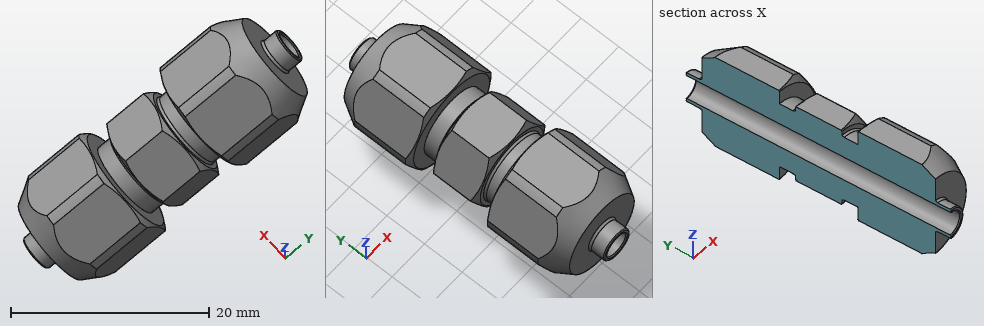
import cadquery as cq
import math

TOTAL_LENGTH = 34.0

TUBE_RADIUS = 1.97
TUBE_STUB = 2.0
TUBE_FLARE_HEIGHT = 0.15
BORE_RADIUS = 1.5

TUBE_END_LENGTH = 0.15
TUBE_END_INSET = 0.1

FLARE_LENGTH = 0.3

NUT_FLATS = 12.0
NUT_CORNER_RADIUS = 6.615
NUT_LENGTH = 10.0
NUT_FACE_RADIUS = 5.0
NUT_TAPER_DEGREES = 60.0

BODY_FLATS = 10.0
BODY_LENGTH = 6.0
NECK_RADIUS = 4.25
NECK_FLARE_HEIGHT = 0.1

BEVEL_INSET = 0.15
BEVEL_DEGREES = 30.0

HALF_LENGTH = TOTAL_LENGTH / 2
NUT_OUTER_Y = HALF_LENGTH - TUBE_STUB
NUT_INNER_Y = NUT_OUTER_Y - NUT_LENGTH
BODY_FACE_Y = BODY_LENGTH / 2


def revolve_profile(points):
    """Turn a closed (radius, y) outline about the Y axis."""
    return cq.Workplane("XY").polyline(points).close().revolve(360, (0, 0, 0), (0, 1, 0))


def hex_prism(across_flats, start_y, end_y):
    """Hexagonal bar along Y with corners pointing along +X and -X."""
    corner_diameter = across_flats / math.cos(math.pi / 6)
    return (
        cq.Workplane("XZ", origin=(0, start_y, 0))
        .polygon(6, corner_diameter)
        .extrude(start_y - end_y)
    )


def taper_length(small_radius, large_radius, degrees):
    """Axial length of a cone whose side leans by the given angle from its end face."""
    return (large_radius - small_radius) * math.tan(math.radians(degrees))


def make_nut():
    """Nut on the +Y side: a hexagon trimmed by a cylinder with tapered ends."""
    inner_radius = NUT_FLATS / 2 - BEVEL_INSET
    bevel = taper_length(inner_radius, NUT_CORNER_RADIUS, BEVEL_DEGREES)
    taper = taper_length(NUT_FACE_RADIUS, NUT_CORNER_RADIUS, NUT_TAPER_DEGREES)
    envelope = revolve_profile([
        (0, NUT_INNER_Y),
        (inner_radius, NUT_INNER_Y),
        (NUT_CORNER_RADIUS, NUT_INNER_Y + bevel),
        (NUT_CORNER_RADIUS, NUT_OUTER_Y - taper),
        (NUT_FACE_RADIUS, NUT_OUTER_Y),
        (0, NUT_OUTER_Y),
    ])
    return hex_prism(NUT_FLATS, NUT_INNER_Y, NUT_OUTER_Y).intersect(envelope)


def make_body():
    """Central hexagon with its corners bevelled at both ends."""
    face_radius = BODY_FLATS / 2 - BEVEL_INSET
    corner_radius = BODY_FLATS / 2 / math.cos(math.pi / 6)
    bevel = taper_length(face_radius, corner_radius, BEVEL_DEGREES)
    envelope = revolve_profile([
        (0, -BODY_FACE_Y),
        (face_radius, -BODY_FACE_Y),
        (corner_radius, -BODY_FACE_Y + bevel),
        (corner_radius, BODY_FACE_Y - bevel),
        (face_radius, BODY_FACE_Y),
        (0, BODY_FACE_Y),
    ])
    return hex_prism(BODY_FLATS, -BODY_FACE_Y, BODY_FACE_Y).intersect(envelope)


def make_neck():
    """Neck from the middle to the +Y nut, flared where it meets the central hexagon."""
    flare_radius = NECK_RADIUS + NECK_FLARE_HEIGHT
    return revolve_profile([
        (0, 0),
        (flare_radius, 0),
        (flare_radius, BODY_FACE_Y),
        (NECK_RADIUS, BODY_FACE_Y + FLARE_LENGTH),
        (NECK_RADIUS, NUT_INNER_Y),
        (0, NUT_INNER_Y),
    ])


def make_tube():
    """Tube from the middle to the +Y end, flared where it leaves the nut."""
    flare_radius = TUBE_RADIUS + TUBE_FLARE_HEIGHT
    return revolve_profile([
        (0, 0),
        (flare_radius, 0),
        (flare_radius, NUT_OUTER_Y),
        (TUBE_RADIUS, NUT_OUTER_Y + FLARE_LENGTH),
        (TUBE_RADIUS, HALF_LENGTH - TUBE_END_LENGTH),
        (TUBE_RADIUS - TUBE_END_INSET, HALF_LENGTH),
        (0, HALF_LENGTH),
    ])


def make_half_bore():
    """Bore from the middle to the +Y end, with its mouth chamfered."""
    return revolve_profile([
        (0, 0),
        (BORE_RADIUS, 0),
        (BORE_RADIUS, HALF_LENGTH - TUBE_END_LENGTH),
        (BORE_RADIUS + TUBE_END_INSET, HALF_LENGTH),
        (0, HALF_LENGTH),
    ])


half_fitting = make_neck().union(make_nut()).union(make_tube())
half_bore = make_half_bore()
fitting = make_body().union(half_fitting).union(half_fitting.mirror("XZ"))
result = fitting.cut(half_bore).cut(half_bore.mirror("XZ"))